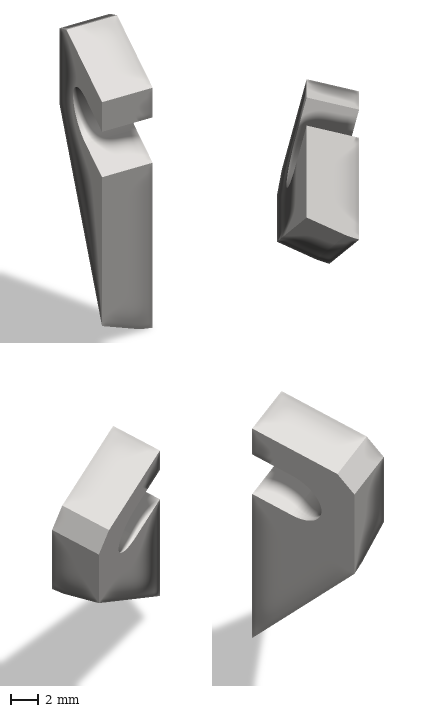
import cadquery as cq
import math

width = 9.0
thickness = 4.0
height = 27.5

corner_chamfer = 1.5
cutting_angle = 60.0

slot_width = 5.2
slot_center_x = 5.5
slot_center_depth = 5.995

shallow_bevel_run = 1.0
shallow_bevel_angle = 7.0
main_bevel_angle = 15.0

edge_top_z = width * math.tan(math.radians(cutting_angle))
slot_center_z = height - slot_center_depth


def make_blade():
    """Plate with a slanted lower edge; the back face lies at Y = thickness."""
    outline = [
        (width, 0),
        (width, height),
        (corner_chamfer, height),
        (0, height - corner_chamfer),
        (0, edge_top_z),
    ]
    return cq.Workplane("XZ").polyline(outline).close().extrude(-thickness)


def make_slot():
    """Round-ended slot running out through the +X side."""
    radius = slot_width / 2
    return (
        cq.Workplane("XZ")
        .moveTo(width, slot_center_z + radius)
        .lineTo(slot_center_x, slot_center_z + radius)
        .threePointArc(
            (slot_center_x - radius, slot_center_z),
            (slot_center_x, slot_center_z - radius),
        )
        .lineTo(width, slot_center_z - radius)
        .close()
        .extrude(-thickness)
    )


def make_bevel_cutter():
    """Waste below the two bevels, swept along the slanted edge."""
    shallow_rise = shallow_bevel_run * math.tan(math.radians(shallow_bevel_angle))
    main_run = thickness - shallow_bevel_run
    main_rise = main_run * math.tan(math.radians(main_bevel_angle))
    edge_length = math.hypot(width, edge_top_z)

    edge_direction = (width, 0, -edge_top_z)
    section_plane = cq.Plane(
        origin=(width / 2, 0, edge_top_z / 2),
        xDir=(0, 1, 0),
        normal=edge_direction,
    )
    section = [
        (thickness, 0),
        (main_run, shallow_rise),
        (0, shallow_rise + main_rise),
        (0, 0),
    ]
    return cq.Workplane(section_plane).polyline(section).close().extrude(edge_length, both=True)


result = make_blade().cut(make_slot()).cut(make_bevel_cutter())